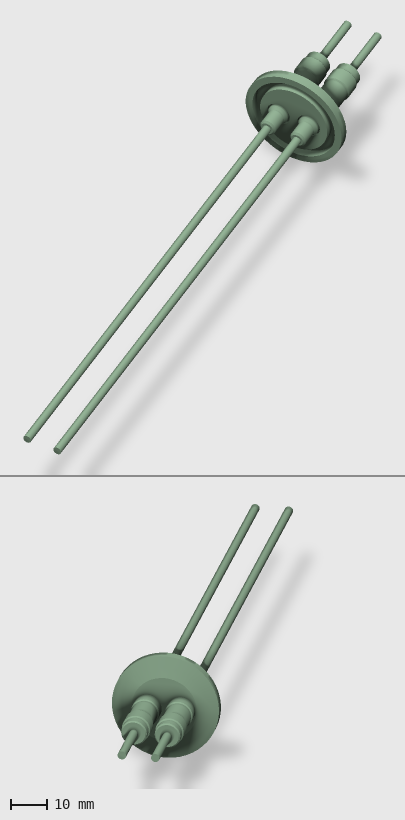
import cadquery as cq
rod_length = 184.2
rod_diameter = 2.4
rod_spacing = 9.4

flange_diameter = 30.0
flange_front = 52.3
flange_thickness = 4.5
rim_thickness = 2.8
taper_back_diameter = 18.5
groove_outer_diameter = 25.8
groove_inner_diameter = 21.0
groove_depth = 2.5
flange_back = flange_front + flange_thickness
rim_back = flange_front + rim_thickness

sleeve_diameter = 8.0
neck_diameter = 7.2
sleeve_chamfer = (sleeve_diameter - neck_diameter) / 2
base_length = 3.9
neck_length = 7.4
band_length = 5.0
cap_length = 2.8

shoulder_diameter = 6.0
shoulder_length = 0.46
cone_length = 1.0
collar_diameter = 4.8
collar_length = 6.6
collar_chamfer = 0.5

pocket_diameter = 7.0
pocket_depth = 1.0
pocket_floor = flange_front + pocket_depth


def turned(profile):
    """Solid of revolution about the Y axis; the profile holds (diameter, y) points."""
    outline = [(diameter / 2, y) for diameter, y in profile]
    axis_start = (0, profile[0][1])
    axis_end = (0, profile[-1][1])
    sketch = cq.Workplane("XY").polyline([axis_start] + outline + [axis_end]).close()
    return sketch.revolve(360, (0, 0, 0), (0, 1, 0))


def flange():
    groove_floor = flange_front + groove_depth
    return turned([
        (groove_inner_diameter, flange_front),
        (groove_inner_diameter, groove_floor),
        (groove_outer_diameter, groove_floor),
        (groove_outer_diameter, flange_front),
        (flange_diameter, flange_front),
        (flange_diameter, rim_back),
        (taper_back_diameter, flange_back),
    ])


def shoulder_pocket():
    return turned([(pocket_diameter, flange_front), (pocket_diameter, pocket_floor)])


def rod():
    return turned([(rod_diameter, -rod_length / 2), (rod_diameter, rod_length / 2)])


def back_sleeve():
    """Base, neck, band and cap in turn; it starts inside the flange so that it joins the taper."""
    base_end = flange_back + base_length
    band_start = base_end + neck_length
    band_end = band_start + band_length
    cap_end = band_end + cap_length
    return turned([
        (sleeve_diameter, rim_back),
        (sleeve_diameter, base_end - sleeve_chamfer),
        (neck_diameter, base_end),
        (neck_diameter, band_start),
        (sleeve_diameter, band_start + sleeve_chamfer),
        (sleeve_diameter, band_end - sleeve_chamfer),
        (neck_diameter, band_end),
        (neck_diameter, cap_end - sleeve_chamfer),
        (neck_diameter - 2 * sleeve_chamfer, cap_end),
    ])


def front_collar():
    """Collar that rises from the floor of its pocket and narrows towards the front."""
    cone_start = flange_front - shoulder_length
    cone_end = cone_start - cone_length
    collar_end = flange_front - collar_length
    return turned([
        (collar_diameter - 2 * collar_chamfer, collar_end),
        (collar_diameter, collar_end + collar_chamfer),
        (collar_diameter, cone_end),
        (shoulder_diameter, cone_start),
        (shoulder_diameter, pocket_floor),
    ])


feedthrough = rod().union(back_sleeve()).union(front_collar())
result = flange()
for side in (-1, 1):
    offset = (side * rod_spacing / 2, 0, 0)
    result = result.cut(shoulder_pocket().translate(offset))
    result = result.union(feedthrough.translate(offset))